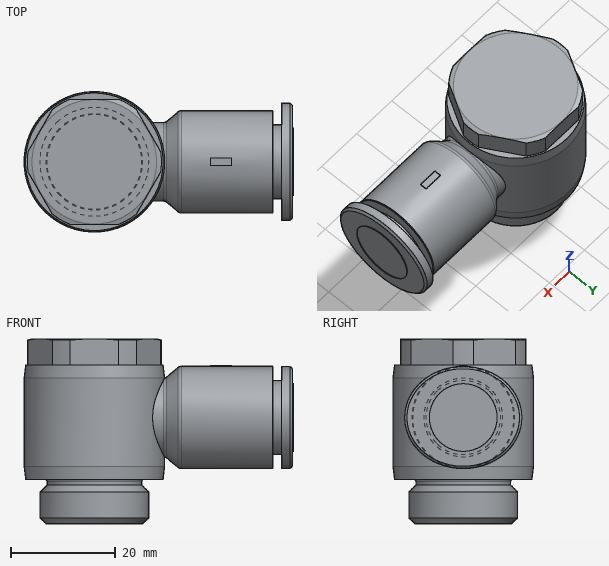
import cadquery as cq
import math


THREAD_RADIUS = 10.45
THREAD_TIP_RADIUS = 9.25
THREAD_TIP_HEIGHT = 1.1
THREAD_TOP = 6.1
NECK_RADIUS = 9.1
NECK_START = THREAD_TOP + THREAD_RADIUS - NECK_RADIUS
NECK_FLARE = 0.4

BODY_RADIUS = 13.5
BODY_END_RADIUS = 13.2
BODY_TAPER_HEIGHT = 2.5
BODY_BOTTOM = 8.5
BODY_HEIGHT = 22.0
BODY_TOP = BODY_BOTTOM + BODY_HEIGHT

HEX_ACROSS_FLATS = 24.0
HEX_CORNER_RADIUS = 12.88
HEX_HEIGHT = 5.0
HEX_TOP_RADIUS = 11.95
HEX_CROWN_DROP = 0.25

ARM_AXIS_HEIGHT = 20.4
ARM_NECK_RADIUS = 7.55
ARM_RADIUS = 9.85
ARM_CONE_START = 13.6
ARM_CONE_END = 16.35
ARM_BLEND_RADIUS = 1.0
ARM_END = 34.3
ARM_END_CHAMFER = 0.15

SLEEVE_RADIUS = 7.13
COLLAR_START = 35.95
COLLAR_FACE = 38.05
COLLAR_HALF_WIDTH = 11.25
COLLAR_HALF_HEIGHT = 9.8
COLLAR_CHAMFER = 0.45
LIP_RADIUS = 6.5
LIP_END = 38.2

MARK_CENTER = 24.3
MARK_LENGTH = 4.1
MARK_WIDTH = 1.45
MARK_HEIGHT = 0.1
MARK_ROOT_DEPTH = 1.0


def make_threaded_end():
    profile = (
        cq.Workplane("XZ")
        .lineTo(THREAD_TIP_RADIUS, 0)
        .lineTo(THREAD_RADIUS, THREAD_TIP_HEIGHT)
        .lineTo(THREAD_RADIUS, THREAD_TOP)
        .lineTo(NECK_RADIUS, NECK_START)
        .lineTo(NECK_RADIUS, BODY_BOTTOM - NECK_FLARE)
        .radiusArc((NECK_RADIUS + NECK_FLARE, BODY_BOTTOM), NECK_FLARE)
        .lineTo(NECK_RADIUS + NECK_FLARE, BODY_TOP)
        .lineTo(0, BODY_TOP)
        .close()
    )
    return profile.revolve(360, (0, 0), (0, 1))


def make_body():
    profile = (
        cq.Workplane("XZ", origin=(0, 0, BODY_BOTTOM))
        .lineTo(BODY_END_RADIUS, 0)
        .lineTo(BODY_RADIUS, BODY_TAPER_HEIGHT)
        .lineTo(BODY_RADIUS, BODY_HEIGHT - BODY_TAPER_HEIGHT)
        .lineTo(BODY_END_RADIUS, BODY_HEIGHT)
        .lineTo(0, BODY_HEIGHT)
        .close()
    )
    return profile.revolve(360, (0, 0), (0, 1))


def make_hex_head():
    """Hexagon with flats facing +Y and -Y, turned down at its corners and crowned on top."""
    across_corners = HEX_ACROSS_FLATS / math.cos(math.pi / 6)
    hexagon = (
        cq.Workplane("XY", origin=(0, 0, BODY_TOP))
        .polygon(6, across_corners)
        .extrude(HEX_HEIGHT)
    )
    turned_blank = (
        cq.Workplane("XZ", origin=(0, 0, BODY_TOP))
        .lineTo(HEX_CORNER_RADIUS, 0)
        .lineTo(HEX_CORNER_RADIUS, HEX_HEIGHT - HEX_CROWN_DROP)
        .lineTo(HEX_TOP_RADIUS, HEX_HEIGHT)
        .lineTo(0, HEX_HEIGHT)
        .close()
        .revolve(360, (0, 0), (0, 1))
    )
    return hexagon.intersect(turned_blank)


def make_arm():
    """Arm turned about its own axis, with rounded transitions at both ends of its cone."""
    cone_angle = math.atan2(ARM_RADIUS - ARM_NECK_RADIUS, ARM_CONE_END - ARM_CONE_START)
    tangent = ARM_BLEND_RADIUS * math.tan(cone_angle / 2)
    along = tangent * math.cos(cone_angle)
    across = tangent * math.sin(cone_angle)
    profile = (
        cq.Workplane("XZ", origin=(0, 0, ARM_AXIS_HEIGHT))
        .lineTo(0, ARM_NECK_RADIUS)
        .lineTo(ARM_CONE_START - tangent, ARM_NECK_RADIUS)
        .radiusArc((ARM_CONE_START + along, ARM_NECK_RADIUS + across), -ARM_BLEND_RADIUS)
        .lineTo(ARM_CONE_END - along, ARM_RADIUS - across)
        .radiusArc((ARM_CONE_END + tangent, ARM_RADIUS), ARM_BLEND_RADIUS)
        .lineTo(ARM_END - ARM_END_CHAMFER, ARM_RADIUS)
        .lineTo(ARM_END, ARM_RADIUS - ARM_END_CHAMFER)
        .lineTo(ARM_END, SLEEVE_RADIUS)
        .lineTo(COLLAR_START, SLEEVE_RADIUS)
        .lineTo(COLLAR_START, LIP_RADIUS)
        .lineTo(LIP_END, LIP_RADIUS)
        .lineTo(LIP_END, 0)
        .close()
    )
    return profile.revolve(360, (0, 0), (1, 0))


def make_collar():
    return (
        cq.Workplane("YZ", origin=(COLLAR_START, 0, ARM_AXIS_HEIGHT))
        .ellipse(COLLAR_HALF_WIDTH, COLLAR_HALF_HEIGHT)
        .extrude(COLLAR_FACE - COLLAR_START)
        .faces(">X")
        .chamfer(COLLAR_CHAMFER)
    )


def make_mark():
    """Flat-topped pad standing just proud of the arm's crest."""
    pad_top = ARM_AXIS_HEIGHT + ARM_RADIUS + MARK_HEIGHT
    return (
        cq.Workplane("XY", origin=(MARK_CENTER, 0, pad_top))
        .rect(MARK_LENGTH, MARK_WIDTH)
        .extrude(-MARK_ROOT_DEPTH)
    )


result = (
    make_body()
    .union(make_threaded_end())
    .union(make_hex_head())
    .union(make_arm())
    .union(make_collar())
    .union(make_mark())
)